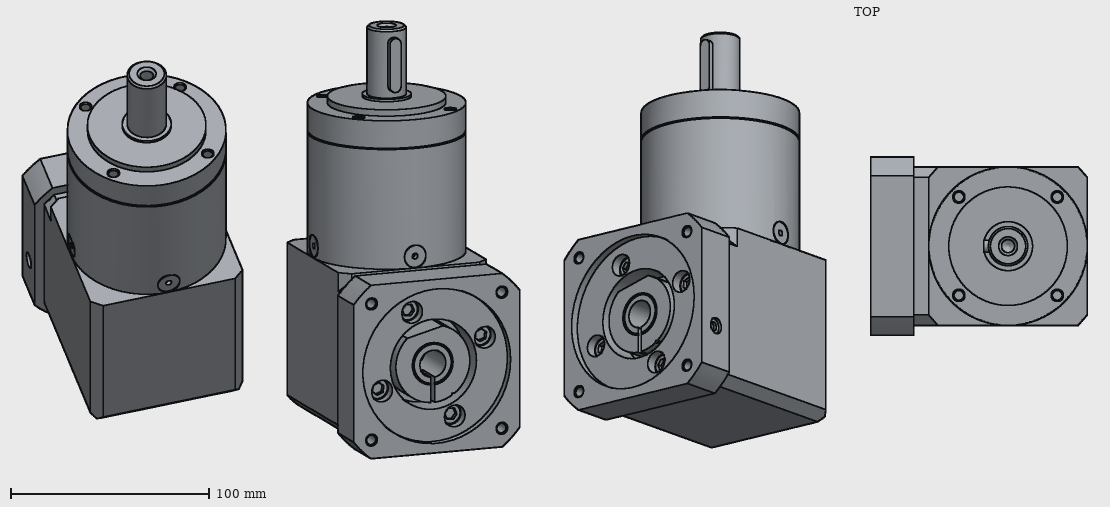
import cadquery as cq
import math


flange_side = 90.0
flange_thickness = 21.9
flange_corner_radius = 57.5
flange_face_x = -69.4
flange_back_x = flange_face_x + flange_thickness

block_side = 80.1
block_half = block_side / 2
block_top_z = 44.5
chamfer_x = 4.7
chamfer_yz = 5.4

barrel_radius = block_side / 2
barrel_top_z = 121.5
groove_z = 106.8
groove_width = 0.6
groove_depth = 0.5
pilot_radius = 30.0
pilot_top_z = 124.7
seal_radius = 12.4
seal_height = 1.2

shaft_radius = 10.0
shaft_top_z = flange_side * -0.5 + 206.5
shaft_chamfer = 1.0
center_hole_radius = 3.3
center_hole_depth = 12.4
center_hole_tip_height = 2.0
center_hole_mouth_radius = 4.7
key_width = 6.0
key_length = 28.0
key_mid_z = 143.3
key_outer_x = -12.4
key_depth = 6.2

tap_radius = 2.5
tap_mouth_radius = 3.0
output_tap_pitch_radius = 35.1
output_tap_depth = 12.4
flange_tap_offset = 35.3

plug_radius = 5.8
plug_z = 50.4
plug_flat_depth = 0.6
plug_hole_radius = 1.5
plug_hole_depth = 4.1

recess_radius = 40.0
recess_depth = 4.5
recess_floor_x = flange_face_x + recess_depth
hub_bore_radius = 23.3
hub_radius = 20.0
hub_inset = 0.8
hub_face_x = recess_floor_x + hub_inset
hub_gap_depth = 16.5
hub_flat_distance = 17.3
hub_flat_angle = -14.0
input_bore_radius = 7.0
input_bore_depth = 29.0
sleeve_radius = 10.1
sleeve_gap_radius = 11.0
sleeve_gap_depth = 0.5
hub_slit_width = 2.0
hub_notch_radius = 0.8
hub_notch_y = -11.2
hub_notch_z = -17.0
hub_notch_depth = 2.0
screw_pitch_radius = 30.1
screw_first_angle = 22.5
screw_pocket_radius = 5.5
screw_head_radius = 5.2
screw_gap_depth = 0.5
screw_pocket_depth = 5.4
screw_socket_across_corners = 6.6
screw_socket_depth = 2.5

access_x = -58.0
access_z = -13.6
access_radius = 4.1
access_depth = 1.7
access_inner_radius = 2.3
access_inner_depth = 3.3


def x_plane(x):
    """Work plane facing -X at the given X: local x runs along -Y, local y along +Z."""
    return cq.Workplane(cq.Plane(origin=(x, 0, 0), xDir=(0, -1, 0), normal=(-1, 0, 0)))


def disc_x(x, radius, depth):
    """Cylinder on the input axis from the given X inward, along +X."""
    return x_plane(x).circle(radius).extrude(-depth)


def disc_z(bottom_z, top_z, radius):
    """Cylinder on the output axis between two heights."""
    return cq.Workplane("XY").workplane(offset=bottom_z).circle(radius).extrude(top_z - bottom_z)


def pin(origin, direction, radius, depth, mouth_radius=None):
    """Cutter for a blind hole; the mouth is countersunk at 45 degrees if a mouth radius is given."""
    start = cq.Vector(*origin)
    axis = cq.Vector(*direction)
    cutter = cq.Solid.makeCylinder(radius, depth, start, axis)
    if mouth_radius:
        cone = cq.Solid.makeCone(mouth_radius, radius, mouth_radius - radius, start, axis)
        cutter = cutter.fuse(cone)
    return cutter


def chamfered_square(cut_x, cut_y):
    """Corner points of the block's square section with its four corners cut off."""
    inner_x = block_half - cut_x
    inner_y = block_half - cut_y
    return [
        (block_half, inner_y), (inner_x, block_half),
        (-inner_x, block_half), (-block_half, inner_y),
        (-block_half, -inner_y), (-inner_x, -block_half),
        (inner_x, -block_half), (block_half, -inner_y),
    ]


def make_block():
    height = block_top_z + block_half
    tower = (
        cq.Workplane("XY")
        .polyline(chamfered_square(chamfer_x, chamfer_yz))
        .close()
        .extrude(height)
        .translate((0, 0, -block_half))
    )
    neck = (
        x_plane(flange_back_x)
        .polyline(chamfered_square(chamfer_yz, chamfer_yz))
        .close()
        .extrude(flange_back_x)
    )
    side_trim = (
        cq.Workplane("YZ")
        .polyline([
            (block_half, -block_half),
            (block_half, -block_half + chamfer_yz),
            (block_half - chamfer_yz, -block_half),
        ])
        .close()
        .extrude(block_side, both=True)
    )
    end_trim = (
        cq.Workplane("XZ")
        .polyline([
            (block_half, -block_half),
            (block_half, -block_half + chamfer_yz),
            (block_half - chamfer_x, -block_half),
        ])
        .close()
        .extrude(block_side, both=True)
    )
    tower = tower.cut(side_trim).cut(side_trim.mirror("XZ")).cut(end_trim)
    return tower.union(neck)


def make_flange():
    plate = x_plane(flange_face_x).rect(flange_side, flange_side).extrude(-flange_thickness)
    return plate.intersect(disc_x(flange_face_x, flange_corner_radius, flange_thickness))


def make_barrel():
    barrel = disc_z(block_top_z, barrel_top_z, barrel_radius)
    groove_bottom_z = groove_z - groove_width / 2
    groove_top_z = groove_z + groove_width / 2
    groove = disc_z(groove_bottom_z, groove_top_z, barrel_radius).cut(
        disc_z(groove_bottom_z, groove_top_z, barrel_radius - groove_depth)
    )
    pilot = disc_z(barrel_top_z, pilot_top_z, pilot_radius)
    seal = disc_z(pilot_top_z, pilot_top_z + seal_height, seal_radius)
    return barrel.cut(groove).union(pilot).union(seal)


def make_shaft():
    shaft = disc_z(pilot_top_z, shaft_top_z, shaft_radius).faces(">Z").chamfer(shaft_chamfer)
    key = (
        x_plane(key_outer_x)
        .center(0, key_mid_z)
        .slot2D(key_length, key_width, 90)
        .extrude(-key_depth)
    )
    center_hole = pin(
        (0, 0, shaft_top_z), (0, 0, -1), center_hole_radius, center_hole_depth, center_hole_mouth_radius
    )
    drill_tip = cq.Solid.makeCone(
        center_hole_radius,
        0,
        center_hole_tip_height,
        cq.Vector(0, 0, shaft_top_z - center_hole_depth),
        cq.Vector(0, 0, -1),
    )
    return shaft.union(key).cut(center_hole).cut(drill_tip)


def cut_output_taps(body):
    for index in range(4):
        angle = math.radians(45 + 90 * index)
        place = (
            output_tap_pitch_radius * math.cos(angle),
            output_tap_pitch_radius * math.sin(angle),
            barrel_top_z,
        )
        body = body.cut(pin(place, (0, 0, -1), tap_radius, output_tap_depth, tap_mouth_radius))
    return body


def cut_plugs(body):
    """Flat spot faces with a small hole, on the four sides of the barrel foot."""
    flat_radius = barrel_radius - plug_flat_depth
    for index in range(4):
        angle = math.radians(90 * index)
        outward = (math.cos(angle), math.sin(angle))
        inward = (-outward[0], -outward[1], 0)
        rim = (barrel_radius * outward[0], barrel_radius * outward[1], plug_z)
        flat = (flat_radius * outward[0], flat_radius * outward[1], plug_z)
        body = body.cut(pin(rim, inward, plug_radius, plug_flat_depth))
        body = body.cut(pin(flat, inward, plug_hole_radius, plug_hole_depth))
    return body


def make_hub():
    """Split clamp hub with a slanted flat and the bore for the motor shaft."""
    hub = disc_x(hub_face_x, hub_radius, hub_gap_depth)
    flat_trim = (
        x_plane(hub_face_x)
        .center(0, hub_flat_distance + hub_radius / 2)
        .rect(2 * hub_radius, hub_radius)
        .extrude(-hub_gap_depth)
        .rotate((0, 0, 0), (1, 0, 0), hub_flat_angle)
    )
    slit = (
        x_plane(hub_face_x)
        .center(0, -hub_radius / 2)
        .rect(hub_slit_width, hub_radius)
        .extrude(-hub_gap_depth)
    )
    notch = pin(
        (hub_face_x, hub_notch_y, hub_notch_z), (1, 0, 0), hub_notch_radius, hub_notch_depth
    )
    return hub.cut(flat_trim).cut(slit).cut(notch)


def cut_motor_face(body):
    body = body.cut(disc_x(flange_face_x, recess_radius, recess_depth))
    body = body.cut(disc_x(recess_floor_x, hub_bore_radius, hub_inset + hub_gap_depth))
    body = body.union(make_hub())
    body = body.cut(disc_x(hub_face_x, input_bore_radius, input_bore_depth))
    sleeve_gap = x_plane(hub_face_x).circle(sleeve_gap_radius).circle(sleeve_radius)
    return body.cut(sleeve_gap.extrude(-sleeve_gap_depth))


def cut_flange_screws(body):
    """Four sunk screw heads, each with a hexagon socket."""
    pocket_floor_x = recess_floor_x + screw_pocket_depth
    ring = {"radius": screw_pitch_radius, "startAngle": screw_first_angle, "angle": 360, "count": 4}
    pockets = x_plane(recess_floor_x).polarArray(**ring).circle(screw_pocket_radius)
    sockets = x_plane(pocket_floor_x).polarArray(**ring).polygon(6, screw_socket_across_corners)
    gaps = x_plane(pocket_floor_x).polarArray(**ring).circle(screw_pocket_radius)
    heads = x_plane(pocket_floor_x).polarArray(**ring).circle(screw_head_radius)
    body = body.cut(pockets.extrude(-screw_pocket_depth))
    body = body.cut(gaps.extrude(-screw_gap_depth).cut(heads.extrude(-screw_gap_depth)))
    return body.cut(sockets.extrude(-screw_socket_depth))


def cut_flange_taps(body):
    for y_sign in (-1, 1):
        for z_sign in (-1, 1):
            place = (flange_face_x, y_sign * flange_tap_offset, z_sign * flange_tap_offset)
            body = body.cut(pin(place, (1, 0, 0), tap_radius, flange_thickness, tap_mouth_radius))
    return body


def cut_clamp_access(body):
    mouth = (access_x, -flange_side / 2, access_z)
    body = body.cut(pin(mouth, (0, 1, 0), access_radius, access_depth))
    return body.cut(pin(mouth, (0, 1, 0), access_inner_radius, access_inner_depth))


input_unit = make_block().union(make_flange())
input_unit = cut_motor_face(input_unit)
input_unit = cut_flange_screws(input_unit)
input_unit = cut_flange_taps(input_unit)
input_unit = cut_clamp_access(input_unit)

output_unit = make_barrel().union(make_shaft())
output_unit = cut_output_taps(output_unit)
output_unit = cut_plugs(output_unit)

result = input_unit.union(output_unit)